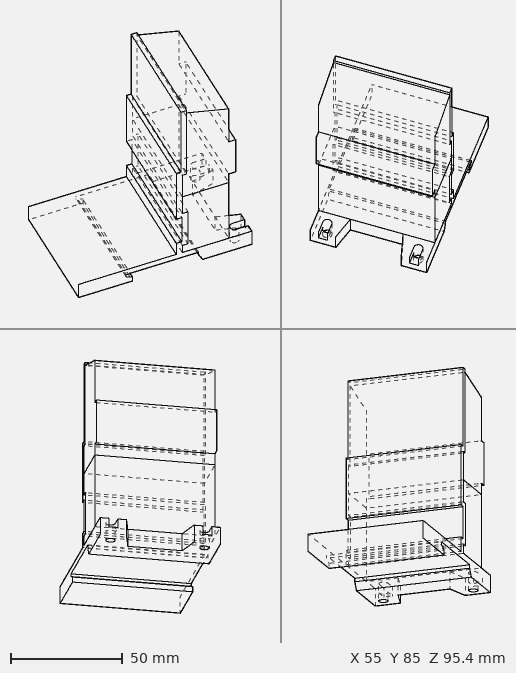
import cadquery as cq
import math

width = 55.0
depth = 85.0
height = 95.4

edge_round = 0.4

base_top = 8.2
wall = 3.0
channel_top = base_top - wall
channel_back = -26.2
channel_front = -61.6
back_lip = -24.2
back_lip_top = 3.6
front_lip = -58.4
front_lip_top = 2.4
front_hook_top = 3.9

panel_front = -37.1
panel_back = panel_front + wall
upper_panel_front = -34.8
upper_panel_back = -32.0
upper_step_outer = 58.4
upper_step_inner = 56.1
recess_bottom = 15.0
recess_top = 30.0
recess_front = -34.4
recess_back = recess_front + wall
recess_overlap = 2.4

lug_end_width = 12.0
lug_taper = 15.0
hole_diameter = 4.2
hole_inset_x = 6.0
hole_inset_y = 6.0
slot_floor = 4.0

block_back = -11.4
block_split = 42.7
roof_back_height = 88.4
roof_angle = 15.0
tab_back = -8.0
tab_bottom = 48.0
tab_top = tab_bottom + 20.0


def across_width(points):
    """Extrude a (Y, Z) outline over the full width."""
    return cq.Workplane("YZ").polyline(points).close().extrude(width / 2, both=True)


def make_base_plate():
    plate = (
        cq.Workplane("XY")
        .box(width, depth, base_top, centered=(True, False, False))
        .translate((0, -depth, 0))
        .edges("|X")
        .fillet(edge_round)
    )
    channel = across_width([
        (back_lip, 0),
        (channel_back, back_lip_top),
        (channel_back, channel_top),
        (channel_front, channel_top),
        (channel_front, front_hook_top),
        (front_lip, front_lip_top),
        (front_lip, 0),
    ])
    return plate.cut(channel)


def cut_lugs(plate):
    """Cut the gap between the two lugs, then a hole and a slot in each lug."""
    gap_half_back = width / 2 - lug_end_width
    gap_half_front = gap_half_back + block_back * math.tan(math.radians(lug_taper))
    gap = (
        cq.Workplane("XY")
        .polyline([
            (-gap_half_back, 0),
            (gap_half_back, 0),
            (gap_half_front, block_back),
            (-gap_half_front, block_back),
        ])
        .close()
        .extrude(base_top)
    )
    plate = plate.cut(gap)
    for side in (-1, 1):
        hole_x = side * (width / 2 - hole_inset_x)
        hole = cq.Workplane("XY").center(hole_x, -hole_inset_y).circle(hole_diameter / 2).extrude(base_top)
        slot = (
            cq.Workplane("XY", origin=(hole_x, -hole_inset_y / 2, slot_floor))
            .rect(hole_diameter, hole_inset_y)
            .extrude(base_top - slot_floor)
        )
        plate = plate.cut(hole).cut(slot)
    return plate


def make_front_panel():
    return across_width([
        (panel_front, channel_top),
        (panel_front, recess_bottom),
        (recess_front, recess_bottom),
        (recess_front, recess_top),
        (panel_front, recess_top),
        (panel_front, upper_step_outer),
        (upper_panel_front, upper_step_outer),
        (upper_panel_front, height),
        (upper_panel_back, height),
        (upper_panel_back, upper_step_inner),
        (panel_back, upper_step_inner),
        (panel_back, recess_top + recess_overlap),
        (recess_back, recess_top + recess_overlap),
        (recess_back, recess_bottom - recess_overlap),
        (panel_back, recess_bottom - recess_overlap),
        (panel_back, channel_top),
    ])


def make_base():
    return cut_lugs(make_base_plate()).union(make_front_panel())


def make_lower_block():
    return across_width([
        (block_back, base_top),
        (panel_back, base_top),
        (panel_back, recess_bottom - recess_overlap),
        (recess_back, recess_bottom - recess_overlap),
        (recess_back, recess_top + recess_overlap),
        (panel_back, recess_top + recess_overlap),
        (panel_back, block_split),
        (block_back, block_split),
    ])


def make_upper_block():
    roof_rise = (block_back - upper_panel_back) * math.tan(math.radians(roof_angle))
    block = across_width([
        (block_back, block_split),
        (panel_back, block_split),
        (panel_back, upper_step_inner),
        (upper_panel_back, upper_step_inner),
        (upper_panel_back, roof_back_height + roof_rise),
        (block_back, roof_back_height),
        (block_back, tab_top),
        (tab_back, tab_top),
        (tab_back, tab_bottom),
        (block_back, tab_bottom),
    ])
    block = block.edges("|X and >Y").fillet(edge_round)
    roof_back_edge = cq.selectors.NearestToPointSelector((0, block_back, roof_back_height))
    return block.edges(roof_back_edge).fillet(edge_round)


base = make_base()
lower_block = make_lower_block()
upper_block = make_upper_block()

result = cq.Compound.makeCompound([base.val(), lower_block.val(), upper_block.val()])